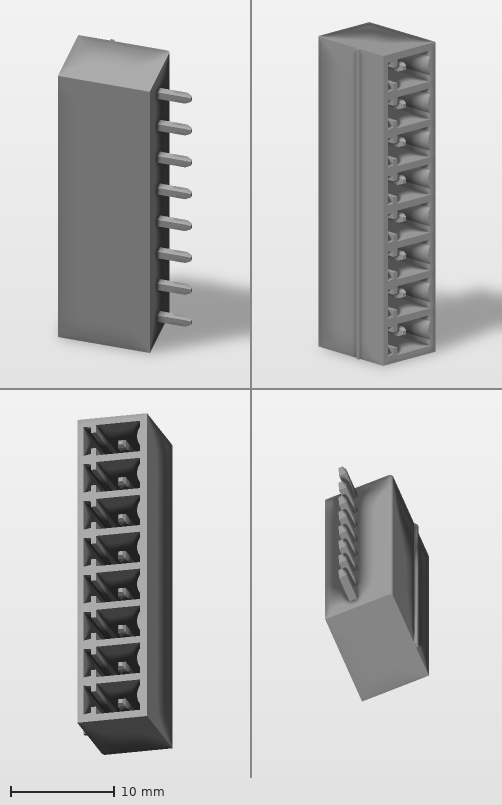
import cadquery as cq

HOUSING_DEPTH = 9.3
HOUSING_WIDTH = 7.0
HOUSING_LENGTH = 31.28
CORNER_RADIUS = 0.3

RIDGE_START = 3.2
RIDGE_CREST = 0.3
RIDGE_BASE = 0.53
OVERALL_WIDTH = 7.25

CONTACT_COUNT = 8
PITCH = 3.82
CONTACT_Y = 3.0
FIRST_Z = (HOUSING_LENGTH - (CONTACT_COUNT - 1) * PITCH) / 2

CAVITY_DEPTH = 8.0
CAVITY_NEAR_Y = 0.72
RELIEF_FAR_Y = 1.3
RIB_NEAR_Y = 5.13
RIB_FAR_Y = 5.63
CAVITY_FAR_Y = 6.38
MOUTH_HALF_HEIGHT = 1.55
FLOOR_HALF_HEIGHT = 1.47
RELIEF_FLOOR_HALF_HEIGHT = 1.53
RIB_GAP = 1.6
KEYWAY_NEAR_HEIGHT = 2.75
KEYWAY_FAR_HEIGHT = 2.97

SWELL_HEIGHT = 1.88
SWELL_RISE = 0.28

COLLAR_DIAMETER = 1.8
COLLAR_TOP_DIAMETER = 1.3
COLLAR_HEIGHT = 0.15

PIN_SIZE = 0.78
PIN_TIP_SIZE = 0.4
PIN_TAPER = 0.53
PIN_START = 1.2
PIN_END = 12.6


def make_housing():
    """Block with one rounded rear edge and the latch ridge."""
    block = (
        cq.Workplane("XY")
        .box(HOUSING_DEPTH, HOUSING_WIDTH, HOUSING_LENGTH, centered=False)
        .edges("|Z and >X and >Y")
        .fillet(CORNER_RADIUS)
    )
    ridge = (
        cq.Workplane("XY")
        .polyline([
            (RIDGE_START, HOUSING_WIDTH),
            (RIDGE_START, OVERALL_WIDTH),
            (RIDGE_START + RIDGE_CREST, OVERALL_WIDTH),
            (RIDGE_START + RIDGE_BASE, HOUSING_WIDTH),
        ])
        .close()
        .extrude(HOUSING_LENGTH)
    )
    return block.union(ridge)


def drafted_chamber(far_y, mouth_half_height, floor_half_height):
    """Chamber from the -Y cavity wall to far_y, drafted in Z toward the cavity floor."""
    return (
        cq.Workplane("XZ", origin=(0, CAVITY_NEAR_Y, 0))
        .polyline([
            (0, -mouth_half_height),
            (0, mouth_half_height),
            (CAVITY_DEPTH, floor_half_height),
            (CAVITY_DEPTH, -floor_half_height),
        ])
        .close()
        .extrude(CAVITY_NEAR_Y - far_y)
    )


def make_cavity():
    """Space removed around one contact, centred on Z = 0."""
    chamber = drafted_chamber(RIB_NEAR_Y, MOUTH_HALF_HEIGHT, FLOOR_HALF_HEIGHT)
    relief = drafted_chamber(RELIEF_FAR_Y, MOUTH_HALF_HEIGHT, RELIEF_FLOOR_HALF_HEIGHT)
    rib_passage = (
        cq.Workplane("XY", origin=(0, RIB_NEAR_Y, 0))
        .box(CAVITY_DEPTH, RIB_FAR_Y - RIB_NEAR_Y, RIB_GAP, centered=(False, False, True))
    )
    keyway = (
        cq.Workplane("YZ")
        .polyline([
            (RIB_FAR_Y, -KEYWAY_NEAR_HEIGHT / 2),
            (CAVITY_FAR_Y, -KEYWAY_FAR_HEIGHT / 2),
            (CAVITY_FAR_Y, KEYWAY_FAR_HEIGHT / 2),
            (RIB_FAR_Y, KEYWAY_NEAR_HEIGHT / 2),
        ])
        .close()
        .extrude(CAVITY_DEPTH)
    )
    swell = (
        cq.Workplane("YZ")
        .moveTo(CAVITY_NEAR_Y, -SWELL_HEIGHT / 2)
        .threePointArc(
            (CAVITY_NEAR_Y + SWELL_RISE, 0),
            (CAVITY_NEAR_Y, SWELL_HEIGHT / 2),
        )
        .close()
        .extrude(CAVITY_DEPTH)
    )
    return chamber.union(relief).cut(swell).union(rib_passage).union(keyway)


def make_taper(base_x, tip_x):
    """Pyramid frustum from the full pin section to its small tip."""
    return (
        cq.Workplane("YZ", origin=(base_x, CONTACT_Y, 0))
        .rect(PIN_SIZE, PIN_SIZE)
        .workplane(offset=tip_x - base_x)
        .rect(PIN_TIP_SIZE, PIN_TIP_SIZE)
        .loft(ruled=True)
    )


def make_contact():
    """Pin with both tapered ends and its collar, centred on Z = 0."""
    shaft_start = PIN_START + PIN_TAPER
    shaft_end = PIN_END - PIN_TAPER
    shaft = (
        cq.Workplane("YZ", origin=(shaft_start, CONTACT_Y, 0))
        .rect(PIN_SIZE, PIN_SIZE)
        .extrude(shaft_end - shaft_start)
    )
    collar = (
        cq.Workplane("YZ", origin=(CAVITY_DEPTH, CONTACT_Y, 0))
        .circle(COLLAR_DIAMETER / 2)
        .workplane(offset=-COLLAR_HEIGHT)
        .circle(COLLAR_TOP_DIAMETER / 2)
        .loft(ruled=True)
    )
    return (
        shaft
        .union(make_taper(shaft_start, PIN_START))
        .union(make_taper(shaft_end, PIN_END))
        .union(collar)
    )


result = make_housing()
cavity = make_cavity()
contact = make_contact()
for index in range(CONTACT_COUNT):
    position = (0, 0, FIRST_Z + index * PITCH)
    result = result.cut(cavity.translate(position)).union(contact.translate(position))